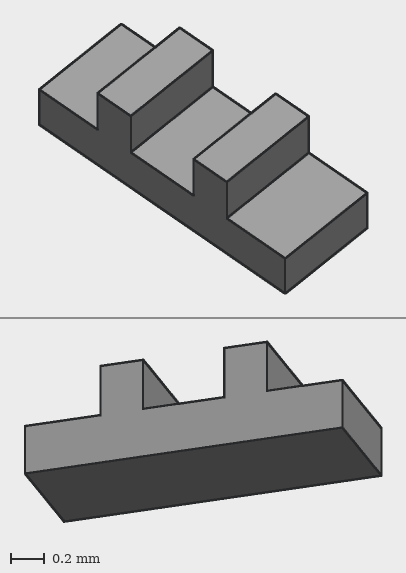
import cadquery as cq

length = 2.0
width = 0.72
height = 0.636

base_height = 0.313
rib_width = 0.27
rib_gap = 0.51

rib_height = height - base_height
rib_offset = (rib_gap + rib_width) / 2


def make_base():
    """Flat plate centred on the origin in X and Y, resting on Z = 0."""
    return cq.Workplane("XY").box(length, width, base_height, centered=(True, True, False))


def make_ribs():
    """Two upright ribs across the full width, mirrored about the YZ plane."""
    return (
        cq.Workplane("XY")
        .workplane(offset=base_height)
        .pushPoints([(-rib_offset, 0), (rib_offset, 0)])
        .box(rib_width, width, rib_height, centered=(True, True, False))
    )


result = make_base().union(make_ribs())